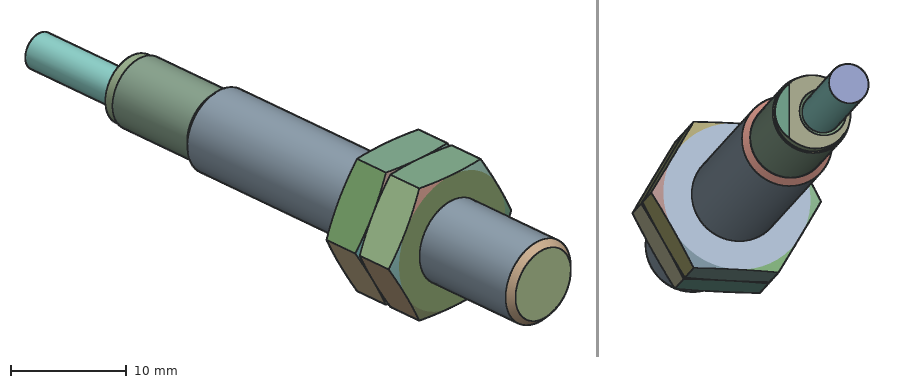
import cadquery as cq
import math

total_length = 60.5
cable_length = 10.45
cable_diameter = 3.5
cable_offset = 0.8

tip_length = 1.0
tip_diameter = 6.55
neck_length = 9.1
neck_diameter = 6.85
barrel_diameter = 8.0
barrel_chamfer = 0.6

bevel_width = 1.1
bevel_depth = 0.65

countersink_size = 0.3

nut_count = 2
nut_thickness = 4.05
nut_across_flats = 13.0
nut_start = 41.3
half_corner_angle = 30.0
nut_chamfer_angle = 15.0

tip_start = cable_length
neck_start = tip_start + tip_length
barrel_start = neck_start + neck_length
barrel_length = total_length - barrel_start


def rod(start, length, diameter, center_y=0.0):
    """Round bar along X."""
    plane = cq.Workplane("YZ", origin=(start, center_y, 0))
    return plane.circle(diameter / 2).extrude(length)


def make_bevel_cutter():
    """Wedge that slopes off the +Y edge of the tip end face."""
    tip_radius = tip_diameter / 2
    return (
        cq.Workplane("XY")
        .moveTo(tip_start, tip_radius - bevel_width)
        .lineTo(tip_start + bevel_depth, tip_radius)
        .lineTo(tip_start, tip_radius)
        .close()
        .extrude(tip_radius, both=True)
    )


def make_countersink():
    """Conical recess in the tip end face, narrowing to the cable diameter."""
    mouth_radius = cable_diameter / 2 + countersink_size
    return (
        cq.Workplane("YZ", origin=(tip_start, -cable_offset, 0))
        .circle(mouth_radius)
        .workplane(offset=countersink_size)
        .circle(cable_diameter / 2)
        .loft(ruled=True)
    )


def make_sensor():
    barrel = rod(barrel_start, barrel_length, barrel_diameter).edges().chamfer(barrel_chamfer)
    neck = rod(neck_start, neck_length, neck_diameter)
    tip = rod(tip_start, tip_length, tip_diameter).cut(make_bevel_cutter()).cut(make_countersink())
    cable = rod(0, neck_start, cable_diameter, -cable_offset)
    return barrel.union(neck).union(tip).union(cable)


def make_nut(start):
    """Hexagonal nut with flats at +Z and -Z and cone-chamfered corners on both faces."""
    flat_radius = nut_across_flats / 2
    hexagon = (
        cq.Workplane("YZ", origin=(start, 0, 0))
        .polygon(6, nut_across_flats, circumscribed=True)
        .extrude(nut_thickness)
        .rotate((0, 0, 0), (1, 0, 0), half_corner_angle)
    )
    corner_radius = flat_radius / math.cos(math.radians(half_corner_angle))
    corner_height = corner_radius - flat_radius
    corner_depth = corner_height * math.tan(math.radians(nut_chamfer_angle))
    envelope = (
        cq.Workplane("XY")
        .moveTo(start, 0)
        .lineTo(start, flat_radius)
        .lineTo(start + corner_depth, corner_radius)
        .lineTo(start + nut_thickness - corner_depth, corner_radius)
        .lineTo(start + nut_thickness, flat_radius)
        .lineTo(start + nut_thickness, 0)
        .close()
        .revolve(360, (0, 0, 0), (1, 0, 0))
    )
    bore = rod(start, nut_thickness, barrel_diameter)
    return hexagon.intersect(envelope).cut(bore)


sensor = make_sensor()
nuts = [make_nut(nut_start + index * nut_thickness) for index in range(nut_count)]

result = cq.Compound.makeCompound([sensor.val(), *[nut.val() for nut in nuts]])